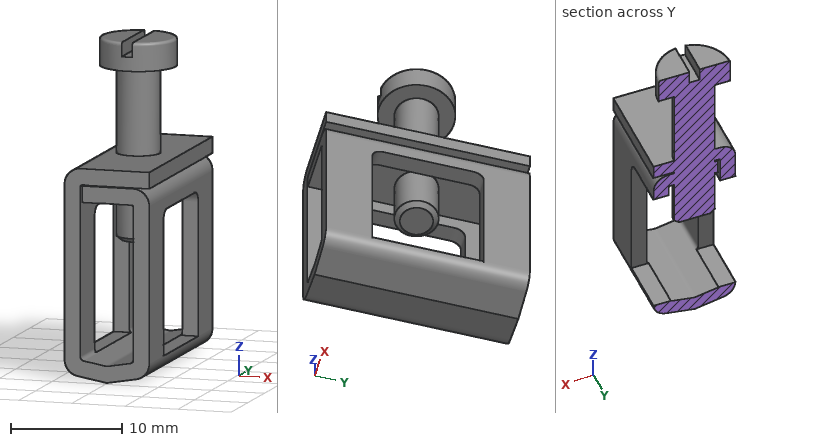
import cadquery as cq
import math

STRAP_WIDTH = 8.0
STRAP_LENGTH = 19.0
STRAP_HEIGHT = 19.48
THICKNESS = 1.5
OUTER_BEND = 1.5
UPPER_INNER_BEND = 0.2
LOWER_INNER_BEND = 0.4
FLOOR_INNER_BEND = 1.0
LAP_GAP = 0.08
LOWER_FLANGE_END = 1.7
FLOOR_ANGLE = 10.0

WINDOW_LENGTH = 10.4
WINDOW_TOP = 15.27
WINDOW_CORNER = 1.0

TOTAL_HEIGHT = 30.08
SHANK_DIAMETER = 4.0
SHANK_BOTTOM = 11.5
TIP_CHAMFER_HEIGHT = 0.4
TIP_CHAMFER_WIDTH = 0.5
HEAD_DIAMETER = 7.0
HEAD_HEIGHT = 2.6
HEAD_EDGE_RADIUS = 0.3
SLOT_WIDTH = 1.0
SLOT_DEPTH = 1.3

CENTER_X = STRAP_WIDTH / 2
FLOOR_SLOPE = math.tan(math.radians(FLOOR_ANGLE))
OUTER_CORNER_Z = CENTER_X * FLOOR_SLOPE
FLOOR_APEX_Z = THICKNESS / math.cos(math.radians(FLOOR_ANGLE))
INNER_LEFT = THICKNESS
INNER_RIGHT = STRAP_WIDTH - THICKNESS
INNER_CORNER_Z = FLOOR_APEX_Z + (CENTER_X - THICKNESS) * FLOOR_SLOPE
UPPER_FLANGE_BOTTOM = STRAP_HEIGHT - THICKNESS
LOWER_FLANGE_TOP = UPPER_FLANGE_BOTTOM - LAP_GAP
LOWER_FLANGE_BOTTOM = LOWER_FLANGE_TOP - THICKNESS
BEND_TANGENT = OUTER_BEND * math.tan(math.radians(90 - FLOOR_ANGLE) / 2)
WINDOW_BOTTOM = OUTER_CORNER_Z + BEND_TANGENT


def round_edges(body, corners, radius):
    """Fillet the edges along Y that pass through the given (x, z) corners."""
    edges = [body.edges(cq.NearestToPointSelector((x, 0, z))).val() for x, z in corners]
    return body.newObject(edges).fillet(radius)


def make_strap():
    outer_bends = [
        (0, STRAP_HEIGHT),
        (0, OUTER_CORNER_Z),
        (STRAP_WIDTH, OUTER_CORNER_Z),
        (STRAP_WIDTH, LOWER_FLANGE_TOP),
    ]
    upper_left, lower_left, lower_right, upper_right = outer_bends
    inner_upper_right = (INNER_RIGHT, LOWER_FLANGE_BOTTOM)
    inner_lower_right = (INNER_RIGHT, INNER_CORNER_Z)
    floor_apex = (CENTER_X, FLOOR_APEX_Z)
    inner_lower_left = (INNER_LEFT, INNER_CORNER_Z)
    inner_upper_left = (INNER_LEFT, UPPER_FLANGE_BOTTOM)
    outline = [
        (STRAP_WIDTH, UPPER_FLANGE_BOTTOM),
        (STRAP_WIDTH, STRAP_HEIGHT),
        upper_left,
        lower_left,
        (CENTER_X, 0),
        lower_right,
        upper_right,
        (LOWER_FLANGE_END, LOWER_FLANGE_TOP),
        (LOWER_FLANGE_END, LOWER_FLANGE_BOTTOM),
        inner_upper_right,
        inner_lower_right,
        floor_apex,
        inner_lower_left,
        inner_upper_left,
    ]
    strap = cq.Workplane("XZ").polyline(outline).close().extrude(STRAP_LENGTH / 2, both=True)
    strap = round_edges(strap, outer_bends, OUTER_BEND)
    strap = round_edges(strap, [inner_upper_right, inner_upper_left], UPPER_INNER_BEND)
    strap = round_edges(strap, [inner_lower_right, inner_lower_left], LOWER_INNER_BEND)
    return round_edges(strap, [floor_apex], FLOOR_INNER_BEND)


def make_window():
    """Block across the full width whose upper corners are rounded."""
    return (
        cq.Workplane("XY")
        .box(STRAP_WIDTH, WINDOW_LENGTH, WINDOW_TOP - WINDOW_BOTTOM, centered=(False, True, False))
        .translate((0, 0, WINDOW_BOTTOM))
        .edges("|X and >Z")
        .fillet(WINDOW_CORNER)
    )


def make_screw():
    shank_radius = SHANK_DIAMETER / 2
    head_radius = HEAD_DIAMETER / 2
    head_bottom = TOTAL_HEIGHT - HEAD_HEIGHT
    shank = (
        cq.Workplane("XY")
        .workplane(offset=SHANK_BOTTOM)
        .circle(shank_radius)
        .extrude(head_bottom - SHANK_BOTTOM)
        .faces("<Z")
        .chamfer(TIP_CHAMFER_HEIGHT, TIP_CHAMFER_WIDTH)
    )
    head = (
        cq.Workplane("XY")
        .workplane(offset=head_bottom)
        .circle(head_radius)
        .extrude(HEAD_HEIGHT)
        .faces(">Z")
        .edges()
        .fillet(HEAD_EDGE_RADIUS)
    )
    slot = (
        cq.Workplane("XY")
        .box(SLOT_WIDTH, HEAD_DIAMETER, SLOT_DEPTH, centered=(True, True, False))
        .translate((0, 0, TOTAL_HEIGHT - SLOT_DEPTH))
    )
    return shank.union(head.cut(slot)).translate((CENTER_X, 0, 0))


result = make_strap().cut(make_window()).union(make_screw())